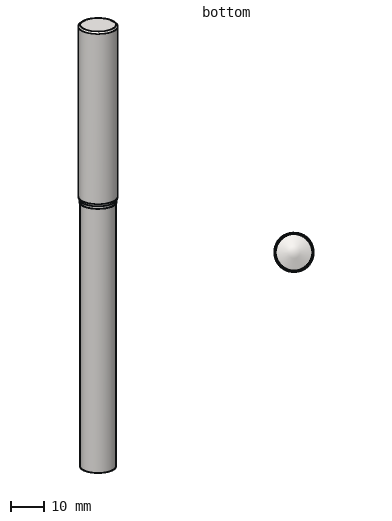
import cadquery as cq
import math

total_length = 146.0
shank_diameter = 12.0
neck_diameter = 11.2
cutter_diameter = 11.0
point_angle = 140.0
shank_length = 56.0
taper_length = 0.9
neck_length = 0.9
end_chamfer = 0.6

shank_radius = shank_diameter / 2
neck_radius = neck_diameter / 2
cutter_radius = cutter_diameter / 2
point_height = cutter_radius / math.tan(math.radians(point_angle / 2))
shank_bottom = total_length - shank_length
neck_top = shank_bottom - taper_length
cutter_top = neck_top - neck_length


def revolve_profile(points):
    """Turn a closed half profile of (radius, height) points about the Z axis."""
    return cq.Workplane("XZ").polyline(points).close().revolve(360, (0, 0, 0), (0, 1, 0))


def make_cutter():
    """Cutting part: a plain cylinder with a conical point at the bottom."""
    return revolve_profile([
        (0, 0),
        (cutter_radius, point_height),
        (cutter_radius, cutter_top),
        (0, cutter_top),
    ])


def make_shank():
    """Shank with a chamfered top end, tapering to a short neck above the cutter."""
    return revolve_profile([
        (0, cutter_top),
        (neck_radius, cutter_top),
        (neck_radius, neck_top),
        (shank_radius, shank_bottom),
        (shank_radius, total_length - end_chamfer),
        (shank_radius - end_chamfer, total_length),
        (0, total_length),
    ])


cutter = make_cutter()
shank = make_shank()

result = cq.Compound.makeCompound([cutter.val(), shank.val()])